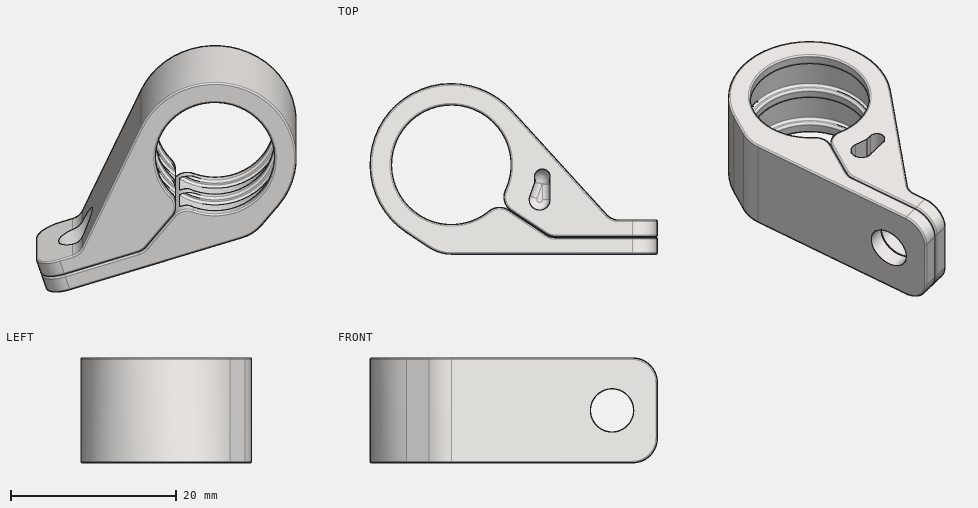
import cadquery as cq
import math


height = 12.7
ring_radius = 9.83
bore_radius = 7.22
edge_round = 0.2

tab_end_x = 24.92
tab_bottom_y = -10.82
tab_thickness = 4.15
tab_corner_radius = 3.0
screw_x = 19.43
screw_diameter = 5.2

back_angle = math.radians(47.7)
back_blend_radius = 2.0
flare_angle = math.radians(33.5)
flare_blend_radius = 5.0

slit_width = 0.1
slit_bend_x = 11.97
slit_bend_radius = 2.0
jaw_tip_radius = 2.0
cutter_overrun = 1.0

rib_width = 0.84
lip_width = 1.2
groove_depth = 0.82
groove_edge_round = 0.3

pocket_depth = 6.35
pocket_right_x = 11.95
pocket_large_radius = 1.27
pocket_small_radius = 0.95
pocket_floor_round = 0.92
pocket_large_y = -4.21
pocket_small_y = -2.38
pocket_end_y = -1.46

tab_top_y = tab_bottom_y + tab_thickness
slit_y = tab_bottom_y + tab_thickness / 2
mid_z = height / 2


def halfway(first, last):
    """Mean of two values."""
    return (first + last) / 2


def on_ring(angle):
    """Point of the ring's outer circle at the given angle."""
    return ring_radius * math.cos(angle), ring_radius * math.sin(angle)


back_normal = math.pi / 2 - back_angle
flare_normal = 3 * math.pi / 2 - flare_angle
back_corner_x = (ring_radius - tab_top_y * math.sin(back_normal)) / math.cos(back_normal)
flare_corner_x = (ring_radius - tab_bottom_y * math.sin(flare_normal)) / math.cos(flare_normal)


def vertical_edge(body, x, y):
    """The vertical edge closest to (x, y)."""
    return body.edges("|Z").edges(cq.selectors.NearestToPointSelector((x, y, mid_z)))


def make_outline():
    """Solid teardrop body with its two outer corners blended."""
    body = (
        cq.Workplane("XY")
        .moveTo(flare_corner_x, tab_bottom_y)
        .lineTo(tab_end_x, tab_bottom_y)
        .lineTo(tab_end_x, tab_top_y)
        .lineTo(back_corner_x, tab_top_y)
        .lineTo(*on_ring(back_normal))
        .threePointArc(on_ring(halfway(back_normal, flare_normal)), on_ring(flare_normal))
        .close()
        .extrude(height)
    )
    body = vertical_edge(body, back_corner_x, tab_top_y).fillet(back_blend_radius)
    return vertical_edge(body, flare_corner_x, tab_bottom_y).fillet(flare_blend_radius)


def slit_side(offset):
    """Start (inside the bore), bend and end of a line parallel to the slit's middle line."""
    bend_x = slit_bend_x + offset * math.tan(flare_angle / 2)
    bend_y = slit_y + offset
    start_x = bore_radius / 2
    start_y = bend_y + (bend_x - start_x) * math.tan(flare_angle)
    return [(start_x, start_y), (bend_x, bend_y), (tab_end_x + cutter_overrun, bend_y)]


def slit_mouth(side):
    """Point where a side of the slit leaves the bore circle."""
    bend_x, bend_y = side[1]
    cos_a = math.cos(flare_angle)
    sin_a = math.sin(flare_angle)
    along = bend_x * cos_a - bend_y * sin_a
    across = bend_x * sin_a + bend_y * cos_a
    reach = along - math.sqrt(bore_radius**2 - across**2)
    return bend_x - reach * cos_a, bend_y + reach * sin_a


def split_ring(body):
    """Open the bore and the slit, then round the slit's bends and mouth."""
    upper = slit_side(slit_width / 2)
    lower = slit_side(-slit_width / 2)
    bore = cq.Workplane("XY").circle(bore_radius).extrude(height)
    slit = cq.Workplane("XY").polyline(upper + lower[::-1]).close().extrude(height)
    body = body.cut(bore).cut(slit)
    for side in (upper, lower):
        body = vertical_edge(body, *side[1]).fillet(slit_bend_radius)
        body = vertical_edge(body, *slit_mouth(side)).fillet(jaw_tip_radius)
    return body


def round_edges(body):
    """Round the tab corners, then every rim that runs around the outline."""
    body = body.faces(">X").edges("|Y").fillet(tab_corner_radius)
    rims = body.faces("<Z or >Z").edges("not(|Y)")
    tab_end = body.faces(">X").edges("|Z")
    corner_x = tab_end_x - tab_corner_radius
    box_low = (corner_x, tab_bottom_y - cutter_overrun, -cutter_overrun)
    box_high = (tab_end_x + cutter_overrun, tab_top_y + cutter_overrun, height + cutter_overrun)
    corners = body.edges("%CIRCLE").edges(cq.selectors.BoxSelector(box_low, box_high))
    return rims.add(tab_end).add(corners).fillet(edge_round)


def groove(bottom_z, top_z):
    """Ring cutter for one bore groove between two heights, with rounded lips and floor corners."""
    r = groove_edge_round
    floor = bore_radius + groove_depth
    diagonal = r * math.sqrt(0.5)
    lip_x = bore_radius + r
    corner_x = floor - r
    profile = (
        cq.Workplane("XZ")
        .moveTo(bore_radius, bottom_z)
        .threePointArc((lip_x - diagonal, bottom_z + diagonal), (lip_x, bottom_z + r))
        .lineTo(corner_x, bottom_z + r)
        .threePointArc((corner_x + diagonal, bottom_z + 2 * r - diagonal), (floor, bottom_z + 2 * r))
        .lineTo(floor, top_z - 2 * r)
        .threePointArc((corner_x + diagonal, top_z - 2 * r + diagonal), (corner_x, top_z - r))
        .lineTo(lip_x, top_z - r)
        .threePointArc((lip_x - diagonal, top_z - diagonal), (bore_radius, top_z))
        .close()
    )
    return profile.revolve(360, (0, 0, 0), (0, 1, 0))


def screw_hole():
    """Cutter along Y through both jaws and the foot of the straight back."""
    hole = cq.Workplane("XZ", origin=(screw_x, 0, mid_z))
    return hole.circle(screw_diameter / 2).extrude(2 * abs(tab_bottom_y))


def pocket():
    """Blind tapered pocket with a round floor that sweeps up to its narrow end."""
    floor_z = height - pocket_depth
    large_x = pocket_right_x - pocket_large_radius
    small_x = pocket_right_x - pocket_small_radius
    lean = 2 * math.atan2(small_x - large_x, pocket_small_y - pocket_large_y)

    def slanted(x, y, radius):
        return x - radius * math.cos(lean), y + radius * math.sin(lean)

    def arc_middle(x, y, radius):
        return x + radius * math.sin(lean / 2), y + radius * math.cos(lean / 2)

    main = (
        cq.Workplane("XY", origin=(0, 0, floor_z))
        .moveTo(pocket_right_x, pocket_large_y)
        .lineTo(pocket_right_x, pocket_small_y)
        .threePointArc(
            arc_middle(small_x, pocket_small_y, pocket_small_radius),
            slanted(small_x, pocket_small_y, pocket_small_radius),
        )
        .lineTo(*slanted(large_x, pocket_large_y, pocket_large_radius))
        .threePointArc(
            arc_middle(large_x, pocket_large_y, -pocket_large_radius),
            (pocket_right_x, pocket_large_y),
        )
        .close()
        .extrude(pocket_depth)
        .faces("<Z")
        .edges()
        .fillet(pocket_floor_round)
    )
    sweep_radius = pocket_end_y - pocket_small_y
    bend_z = floor_z + pocket_small_radius + sweep_radius
    upright = (
        cq.Workplane("XY", origin=(small_x, pocket_end_y, bend_z))
        .circle(pocket_small_radius)
        .extrude(height - bend_z)
    )
    between = (
        cq.Workplane("XY", origin=(small_x, halfway(pocket_small_y, pocket_end_y), bend_z))
        .rect(2 * pocket_small_radius, sweep_radius)
        .extrude(height - bend_z)
    )
    half_chord = math.sqrt(pocket_small_radius**2 - sweep_radius**2)
    elbow = (
        cq.Workplane("XY", origin=(small_x, pocket_small_y, bend_z))
        .moveTo(-half_chord, 0)
        .threePointArc((0, sweep_radius + pocket_small_radius), (half_chord, 0))
        .close()
        .revolve(90, (0, 0, 0), (-1, 0, 0))
    )
    return main.union(upright).union(between).union(elbow)


body = round_edges(split_ring(make_outline()))
rib_bottom = mid_z - rib_width / 2
rib_top = mid_z + rib_width / 2
body = body.cut(groove(lip_width, rib_bottom))
body = body.cut(groove(rib_top, height - lip_width))
body = body.cut(screw_hole())
result = body.cut(pocket())